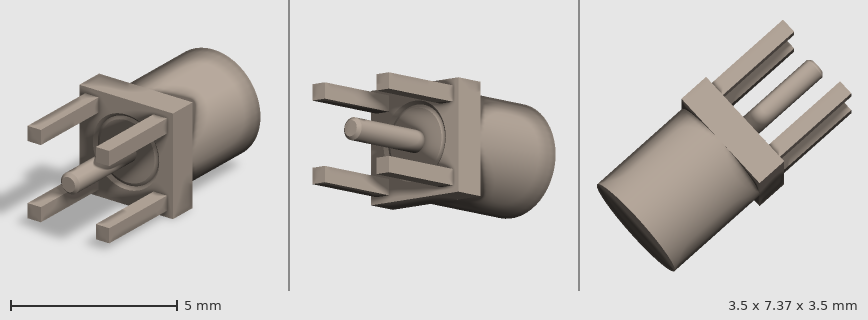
import cadquery as cq

length = 7.37
width = 3.5

base_thickness = 1.0
leg_length = 2.925
barrel_length = length - base_thickness - leg_length

leg_side = 0.5
leg_pitch = 2.56

pin_diameter = 0.7
pin_chamfer = 0.1

groove_outer_diameter = 2.485
groove_inner_diameter = 2.055
groove_depth = 0.1
disc_recess = 0.05


def facing_front(y):
    """Sketch plane at height y whose normal points to -Y."""
    return cq.Workplane("XZ", origin=(0, y, 0))


def make_base():
    return facing_front(base_thickness).rect(width, width).extrude(base_thickness)


def make_barrel():
    return facing_front(base_thickness).circle(width / 2).extrude(-barrel_length)


def make_legs():
    return (
        facing_front(0)
        .rect(leg_pitch, leg_pitch, forConstruction=True)
        .vertices()
        .rect(leg_side, leg_side)
        .extrude(leg_length)
    )


def make_centre_pin():
    pin = facing_front(disc_recess).circle(pin_diameter / 2).extrude(leg_length + disc_recess)
    return pin.faces("<Y").chamfer(pin_chamfer)


def make_face_recess():
    """Half section of the sunken disc and its groove, turned about the Y axis."""
    outer_radius = groove_outer_diameter / 2
    disc_radius = groove_inner_diameter / 2
    valley_radius = (outer_radius + disc_radius) / 2
    section = cq.Workplane("XY").polyline(
        [
            (0, 0),
            (outer_radius, 0),
            (valley_radius, groove_depth),
            (disc_radius, disc_recess),
            (0, disc_recess),
        ]
    )
    return section.close().revolve(360, (0, 0, 0), (0, 1, 0))


body = make_base().union(make_barrel()).cut(make_face_recess())
result = body.union(make_legs()).union(make_centre_pin())